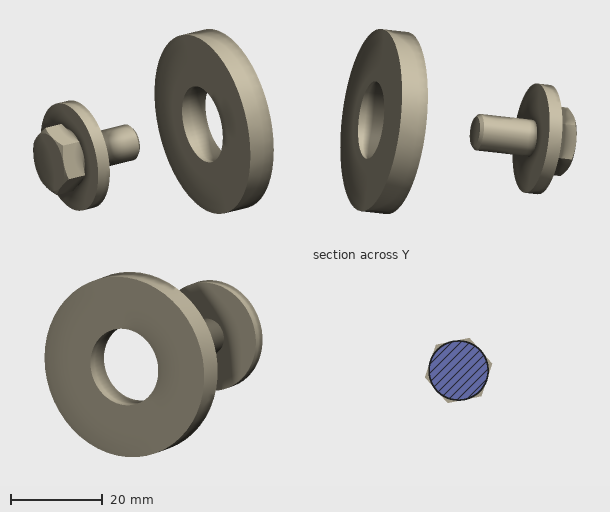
import cadquery as cq
import math

shank_diameter = 8.0
shank_length = 16.0
tip_chamfer = 0.7
head_across_flats = 13.0
head_height = 5.3
collar_height = 0.5
collar_diameter = head_across_flats
hex_turn = 11.5
head_chamfer_angle = 30
end_face_diameter = 12.85
corner_clearance = 0.45

washer_diameter = 24
washer_thickness = 3.0

ring_diameter = 40.0
ring_bore = 17.0
ring_thickness = 6.0
ring_gap = 31.05


def cylinder(diameter, start, length):
    """Solid cylinder along +Y, beginning at Y = start."""
    plane = cq.Workplane("XZ", origin=(0, start, 0))
    return plane.circle(diameter / 2).extrude(-length)


def flat_ring(outer_diameter, bore, start, thickness):
    """Plain ring along +Y, beginning at Y = start."""
    plane = cq.Workplane("XZ", origin=(0, start, 0))
    return plane.circle(outer_diameter / 2).circle(bore / 2).extrude(-thickness)


def chamfer_envelope():
    """Revolved shape that rounds off the hexagon's corners at the end face."""
    corner_radius = head_across_flats / math.sqrt(3)
    outer_radius = corner_radius + corner_clearance
    end_radius = end_face_diameter / 2
    cone_depth = (outer_radius - end_radius) * math.tan(math.radians(head_chamfer_angle))
    profile = [
        (0, -head_height),
        (end_radius, -head_height),
        (outer_radius, -head_height + cone_depth),
        (outer_radius, 0),
        (0, 0),
    ]
    return cq.Workplane("XY").polyline(profile).close().revolve(360, (0, 0), (0, 1))


def make_bolt():
    corner_diameter = 2 * head_across_flats / math.sqrt(3)
    hexagon = (
        cq.Workplane("XZ", origin=(0, -collar_height, 0))
        .polygon(6, corner_diameter)
        .extrude(head_height - collar_height)
        .rotate((0, 0, 0), (0, 1, 0), hex_turn)
    )
    head = hexagon.intersect(chamfer_envelope())
    collar = cylinder(collar_diameter, -collar_height, collar_height)
    shank = cylinder(shank_diameter, 0, shank_length).faces(">Y").chamfer(tip_chamfer)
    return head.union(collar).union(shank)


bolt = make_bolt()
washer = flat_ring(washer_diameter, shank_diameter, 0, washer_thickness)
ring = flat_ring(ring_diameter, ring_bore, washer_thickness + ring_gap, ring_thickness)

result = cq.Compound.makeCompound([bolt.val(), washer.val(), ring.val()])